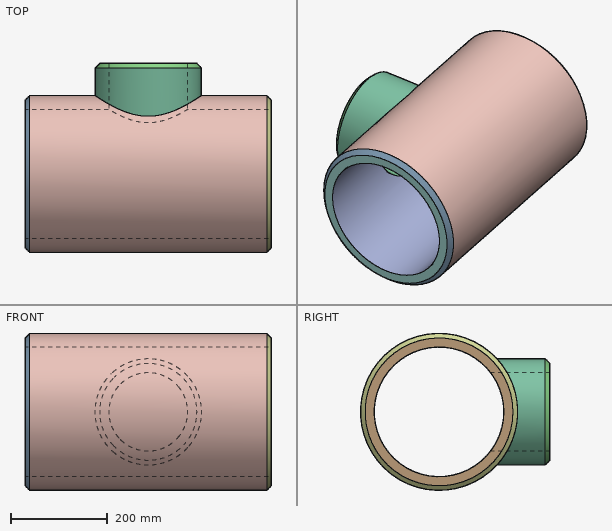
import cadquery as cq

run_length = 508.0
run_diameter = 324.0
run_bore = 266.5

branch_reach = 228.5
branch_diameter = 219.5
wall = (run_diameter - run_bore) / 2
branch_bore = branch_diameter - 2 * wall

end_bevel = 9.5


def run_cylinder(diameter):
    return cq.Workplane("YZ").circle(diameter / 2).extrude(run_length / 2, both=True)


def branch_cylinder(diameter):
    return cq.Workplane("XZ").circle(diameter / 2).extrude(-branch_reach)


run_body = run_cylinder(run_diameter).faces("<X or >X").chamfer(end_bevel)
branch_body = branch_cylinder(branch_diameter).faces(">Y").chamfer(end_bevel)

result = (
    run_body.union(branch_body)
    .cut(run_cylinder(run_bore))
    .cut(branch_cylinder(branch_bore))
)